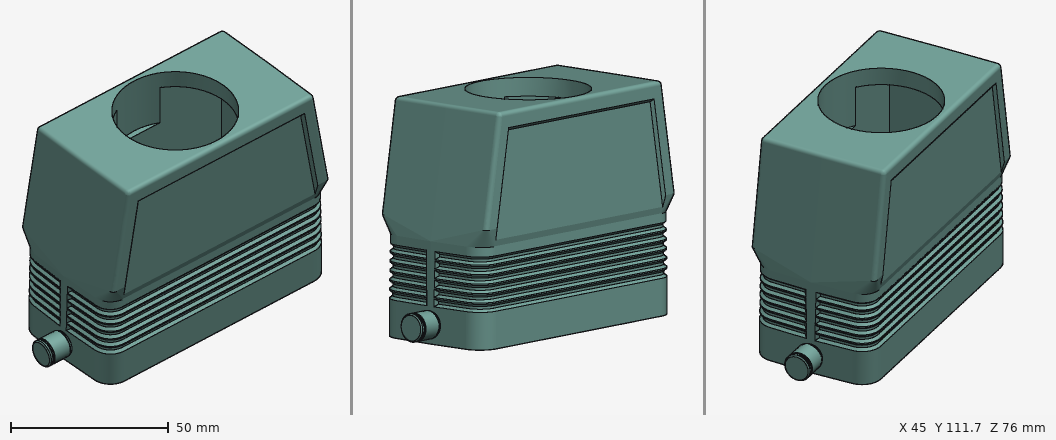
import cadquery as cq
import math

TOTAL_LENGTH = 111.7
HEIGHT = 76.0
HOOD_WIDTH = 45.0
HOOD_HALF_WIDTH = HOOD_WIDTH / 2

RIB_BOTTOM_Z = 12.2
RIB_TOP_Z = 29.9
NECK_TOP_Z = 33.0
HOOD_BOTTOM_Z = 38.9

BASE_HALF_WIDTH = 21.5
BASE_HALF_LENGTH = 46.7
BASE_CORNER_RADIUS = 6.8
NECK_INSET = 0.3
BODY_PEAK_SLOPE = math.tan(math.radians(1.75))

GROOVE_COUNT = 6
GROOVE_DEPTH = 1.0
GROOVE_FLOOR = 0.9
RIB_LAND = 0.5
PAD_HALF_WIDTH = 1.5

HOOD_PEAK_SLOPE = math.tan(math.radians(0.5))
END_SLOPE = math.tan(math.radians(9.8))
HOOD_EDGE_RADIUS = 1.5

PANEL_TOP_Z = 70.7
PANEL_TOP_HALF_LENGTH = 34.6
PANEL_DEPTH = 0.9
PANEL_WALL_RUN = 0.9

CAVITY_MIN_X = -18.0
CAVITY_MAX_X = 16.0
CAVITY_HALF_LENGTH = 34.6
ROOF_THICKNESS = 6.0
BORE_RADIUS = 20.1
BORE_DEPTH = 20.1

PIN_RADIUS = 4.6
PIN_Z = 6.4
PIN_GROOVE_DEPTH = 0.3
PIN_ROOT_WIDTH = 0.7
PIN_GROOVE_WIDTH = 0.7
PIN_HEAD_LENGTH = 1.3
PIN_CHAMFER = 0.5


def peaked_outline(z, half_width, half_length, peak_slope, radius=0.0):
    """Closed outline at height z: a rectangle with peaked short ends and optional round corners."""
    corner_y = half_length - half_width * peak_slope
    points = [
        (0, half_length),
        (half_width, corner_y),
        (half_width, -corner_y),
        (0, -half_length),
        (-half_width, -corner_y),
        (-half_width, corner_y),
    ]
    wire = cq.Wire.makePolygon([cq.Vector(x, y, z) for x, y in points], close=True)
    if radius == 0:
        return wire
    corners = [v for v in wire.Vertices() if abs(v.X) > half_width / 2]
    return wire.fillet2D(radius, corners)


def ruled_solid(outlines):
    return cq.Workplane(cq.Solid.makeLoft(outlines, True))


def body_outline(z, groove_depth=0.0):
    """Lower body outline: upright up to the ribs, then drafted inward to the neck."""
    draft = max(0.0, (z - RIB_BOTTOM_Z) / (NECK_TOP_Z - RIB_BOTTOM_Z))
    inset = NECK_INSET * draft + groove_depth
    return peaked_outline(
        z,
        BASE_HALF_WIDTH - inset,
        BASE_HALF_LENGTH - inset,
        BODY_PEAK_SLOPE,
        BASE_CORNER_RADIUS - inset,
    )


def make_lower_body():
    pitch = (RIB_TOP_Z - RIB_BOTTOM_Z + RIB_LAND) / GROOVE_COUNT
    flank = (pitch - RIB_LAND - GROOVE_FLOOR) / 2
    outlines = [body_outline(0)]
    for i in range(GROOVE_COUNT):
        bottom = RIB_BOTTOM_Z + i * pitch
        outlines += [
            body_outline(bottom),
            body_outline(bottom + flank, GROOVE_DEPTH),
            body_outline(bottom + flank + GROOVE_FLOOR, GROOVE_DEPTH),
            body_outline(bottom + 2 * flank + GROOVE_FLOOR),
        ]
    outlines.append(body_outline(NECK_TOP_Z))
    return ruled_solid(outlines)


def make_end_pads():
    """Plain upright strips that interrupt the ribs in the middle of both short ends."""
    root_y = BASE_HALF_LENGTH - 2 * GROOVE_DEPTH
    root_half_width = PAD_HALF_WIDTH + 2 * GROOVE_DEPTH
    strip = (
        cq.Workplane("XY", origin=(0, 0, RIB_BOTTOM_Z))
        .polyline([
            (-root_half_width, root_y),
            (-PAD_HALF_WIDTH, BASE_HALF_LENGTH),
            (PAD_HALF_WIDTH, BASE_HALF_LENGTH),
            (root_half_width, root_y),
        ])
        .close()
        .extrude(RIB_TOP_Z - RIB_BOTTOM_Z)
    )
    smooth_body = ruled_solid([body_outline(RIB_BOTTOM_Z), body_outline(NECK_TOP_Z)])
    return strip.union(strip.mirror("XZ")).intersect(smooth_body)


def hood_half_length(z):
    return BASE_HALF_LENGTH - NECK_INSET - (z - NECK_TOP_Z) * END_SLOPE


def hood_outline(z):
    return peaked_outline(z, HOOD_HALF_WIDTH, hood_half_length(z), HOOD_PEAK_SLOPE)


def make_hood():
    """Hood with its lower corners flaring out from the rounded neck."""
    hood = ruled_solid([hood_outline(NECK_TOP_Z), hood_outline(HEIGHT)])
    hood = hood.faces("<X or >X or >Z").edges("not <Z").fillet(HOOD_EDGE_RADIUS)

    flat_half_width = HOOD_HALF_WIDTH - HOOD_EDGE_RADIUS
    flare_half_length = (
        hood_half_length(HOOD_BOTTOM_Z) + flat_half_width * (BODY_PEAK_SLOPE - HOOD_PEAK_SLOPE)
    )
    flare_top = peaked_outline(
        HOOD_BOTTOM_Z, HOOD_HALF_WIDTH, flare_half_length, BODY_PEAK_SLOPE, HOOD_EDGE_RADIUS
    )
    flare = ruled_solid([body_outline(NECK_TOP_Z), flare_top])
    above_flare = (
        cq.Workplane("XY", origin=(0, 0, HOOD_BOTTOM_Z))
        .rect(TOTAL_LENGTH, TOTAL_LENGTH)
        .extrude(HEIGHT - HOOD_BOTTOM_Z)
    )
    return hood.intersect(flare).union(hood.intersect(above_flare))


def make_panel_recess(side):
    """Shallow trapezoidal recess, open at the bottom; side is -1 or +1 along X."""

    def panel_outline(x, shrink):
        top_z = PANEL_TOP_Z - shrink
        top_y = PANEL_TOP_HALF_LENGTH - shrink
        bottom_y = top_y + (top_z - NECK_TOP_Z) * END_SLOPE
        points = [(-bottom_y, NECK_TOP_Z), (-top_y, top_z), (top_y, top_z), (bottom_y, NECK_TOP_Z)]
        return cq.Wire.makePolygon([cq.Vector(x, y, z) for y, z in points], close=True)

    return ruled_solid([
        panel_outline(side * HOOD_HALF_WIDTH, 0),
        panel_outline(side * (HOOD_HALF_WIDTH - PANEL_DEPTH), PANEL_WALL_RUN),
    ])


def make_cavity():
    """Rectangular inside open at the bottom, plus the round cable entry through the roof."""
    box = (
        cq.Workplane("XY", origin=(CAVITY_MIN_X, 0, 0))
        .box(
            CAVITY_MAX_X - CAVITY_MIN_X,
            2 * CAVITY_HALF_LENGTH,
            HEIGHT - ROOF_THICKNESS,
            centered=(False, True, False),
        )
    )
    bore = cq.Workplane("XY", origin=(0, 0, HEIGHT - BORE_DEPTH)).circle(BORE_RADIUS).extrude(BORE_DEPTH)
    return box.union(bore)


def make_pin():
    """Locking pin on the +Y end: relieved root, a groove behind the head, chamfered tip."""
    tip_y = TOTAL_LENGTH / 2
    start_y = BASE_HALF_LENGTH - GROOVE_DEPTH
    root_y = BASE_HALF_LENGTH + PIN_ROOT_WIDTH
    head_y = tip_y - PIN_HEAD_LENGTH
    groove_y = head_y - PIN_GROOVE_WIDTH
    neck_radius = PIN_RADIUS - PIN_GROOVE_DEPTH
    return (
        cq.Workplane("XY")
        .polyline([
            (0, start_y),
            (neck_radius, start_y),
            (neck_radius, root_y),
            (PIN_RADIUS, root_y),
            (PIN_RADIUS, groove_y),
            (neck_radius, groove_y),
            (neck_radius, head_y),
            (PIN_RADIUS, head_y),
            (PIN_RADIUS, tip_y - PIN_CHAMFER),
            (PIN_RADIUS - PIN_CHAMFER, tip_y),
            (0, tip_y),
        ])
        .close()
        .revolve(360, (0, 0, 0), (0, 1, 0))
        .translate((0, 0, PIN_Z))
    )


pin = make_pin()
result = make_lower_body().union(make_end_pads()).union(make_hood())
for side in (-1, 1):
    result = result.cut(make_panel_recess(side))
result = result.cut(make_cavity()).union(pin).union(pin.mirror("XZ"))